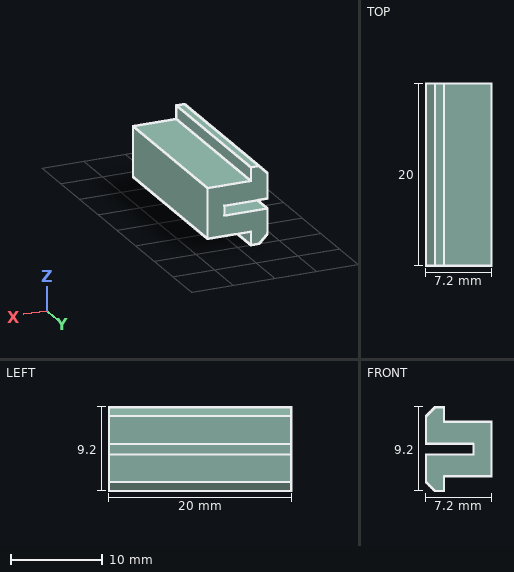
import cadquery as cq

width = 7.2
length = 20.0
height = 9.2

body_height = 6.0
flange_thickness = 2.0
chamfer = 1.0
slot_height = 1.15
end_wall = 2.0

left = -width / 2
right = width / 2
flange_right = left + flange_thickness
slot_depth = width - end_wall

profile = [
    (left, -height / 2 + chamfer),
    (left + chamfer, -height / 2),
    (flange_right, -height / 2),
    (flange_right, -body_height / 2),
    (right, -body_height / 2),
    (right, body_height / 2),
    (flange_right, body_height / 2),
    (flange_right, height / 2),
    (left + chamfer, height / 2),
    (left, height / 2 - chamfer),
]
bar = cq.Workplane("XZ").polyline(profile).close().extrude(length / 2, both=True)

slot = cq.Workplane("XY").box(slot_depth, length, slot_height).translate((left + slot_depth / 2, 0, 0))

result = bar.cut(slot)